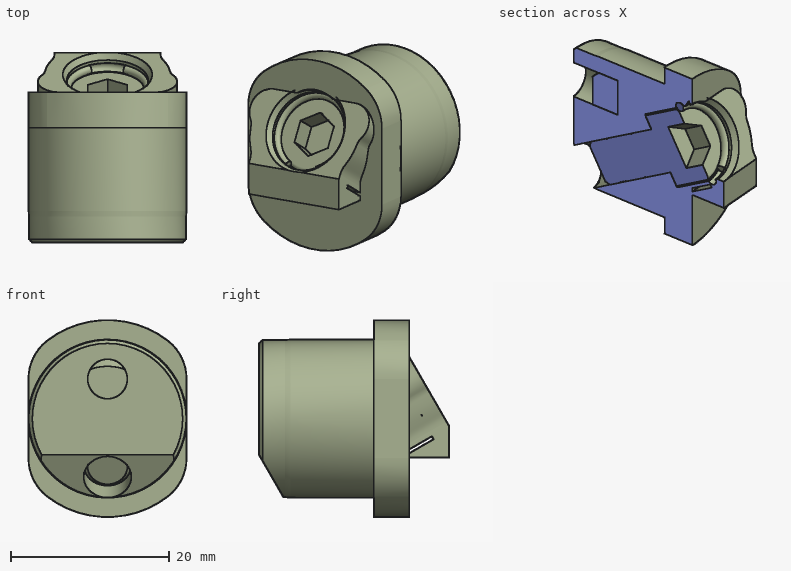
import cadquery as cq
import math

TOTAL_LENGTH = 24.0

BARREL_RADIUS = 10.0
BARREL_LENGTH = 14.5
NOSE_RADIUS = 9.94
NOSE_LENGTH = 3.3
NOSE_BLEND_END = 4.0
NOSE_CHAMFER = 0.45

FLANGE_THICKNESS = 4.5
FLANGE_RADIUS = 12.45
FLANGE_HALF_WIDTH = BARREL_RADIUS
FLANGE_CORNER_RADIUS = 6.15
FLANGE_BACK = BARREL_LENGTH + FLANGE_THICKNESS

TILT = 30.0
AXIS_CROSSING = 14.4
NOSE_CUT_TOP = -4.57

BOSS_FACE = 7.86
BOSS_RADIUS = 7.95
BOSS_BASE_HALF_WIDTH = 6.72
BOSS_BASE_FILLET = 2.8
BOSS_BOTTOM = -4.93
EAR_RADIUS = 2.7
EAR_OFFSET = 6.1
EAR_HEIGHT = 1.7
EAR_FILLET = 2.0

SLOT_DISTANCE = 5.87
SLOT_WIDTH = 0.4
SLOT_END = 5.3

SCREW_RADIUS = 3.0
SCREW_CHAMFER = 0.5
SCREW_RECESS = 2.5
HEAD_RADIUS = 5.0
HEAD_HEIGHT = 6.0
HEAD_TOP = 5.54
HEAD_FILLET = 0.5
SOCKET_ACROSS_FLATS = 5.0
SOCKET_DEPTH = 3.0

COUNTERBORE_RADIUS = 5.15
LEAD_IN_RADIUS = 5.65
LEAD_IN_DEPTH = 0.83

WIRE_RADIUS = 0.6
RING_RADIUS = COUNTERBORE_RADIUS
RING_POSITION = 5.96
RING_GAP = 52.0

PLUG_RADIUS = 2.5
PLUG_HEIGHT = 5.0
PLUG_RECESS = 3.0
PLUG_LENGTH = 4.0
PLUG_FACE_RADIUS = 6.6

SIN_TILT = math.sin(math.radians(TILT))
COS_TILT = math.cos(math.radians(TILT))
NOSE_FACE = -AXIS_CROSSING * COS_TILT + NOSE_CUT_TOP * SIN_TILT
SCREW_TIP = NOSE_FACE + SCREW_RECESS
HEAD_SEAT = HEAD_TOP - HEAD_HEIGHT
SCREW_DIRECTION = cq.Vector(0, COS_TILT, SIN_TILT)
AXIS_START = cq.selectors.DirectionMinMaxSelector(SCREW_DIRECTION, False)
AXIS_END = cq.selectors.DirectionMinMaxSelector(SCREW_DIRECTION, True)
CLEAR = 40.0


def tilted(position):
    """Workplane across the screw axis, at a distance along it from the axis crossing.

    Local y points up and to the front.
    """
    origin = (0, AXIS_CROSSING + position * COS_TILT, position * SIN_TILT)
    return cq.Workplane(cq.Plane(origin, xDir=(-1, 0, 0), normal=SCREW_DIRECTION))


def across(y):
    """Workplane across the housing axis at the given y, facing +Y."""
    return cq.Workplane(cq.Plane((0, y, 0), xDir=(-1, 0, 0), normal=(0, 1, 0)))


def make_barrel():
    profile = [
        (0, 0),
        (NOSE_RADIUS - NOSE_CHAMFER, 0),
        (NOSE_RADIUS, NOSE_CHAMFER),
        (NOSE_RADIUS, NOSE_LENGTH),
        (BARREL_RADIUS, NOSE_BLEND_END),
        (BARREL_RADIUS, BARREL_LENGTH),
        (0, BARREL_LENGTH),
    ]
    barrel = cq.Workplane("XY").polyline(profile).close().revolve(360, (0, 0, 0), (0, 1, 0))
    in_front_of_cut = tilted(NOSE_FACE).rect(CLEAR, CLEAR).extrude(-CLEAR)
    return barrel.cut(in_front_of_cut)


def make_flange():
    corner_x = FLANGE_HALF_WIDTH - FLANGE_CORNER_RADIUS
    corner_reach = FLANGE_RADIUS - FLANGE_CORNER_RADIUS
    corner_z = math.sqrt(corner_reach**2 - corner_x**2)
    join_x = corner_x * FLANGE_RADIUS / corner_reach
    join_z = corner_z * FLANGE_RADIUS / corner_reach
    middle_angle = math.atan2(corner_z, corner_x) / 2
    middle_x = corner_x + FLANGE_CORNER_RADIUS * math.cos(middle_angle)
    middle_z = corner_z + FLANGE_CORNER_RADIUS * math.sin(middle_angle)
    outline = (
        across(BARREL_LENGTH)
        .moveTo(FLANGE_HALF_WIDTH, -corner_z)
        .lineTo(FLANGE_HALF_WIDTH, corner_z)
        .threePointArc((middle_x, middle_z), (join_x, join_z))
        .threePointArc((0, FLANGE_RADIUS), (-join_x, join_z))
        .threePointArc((-middle_x, middle_z), (-FLANGE_HALF_WIDTH, corner_z))
        .lineTo(-FLANGE_HALF_WIDTH, -corner_z)
        .threePointArc((-middle_x, -middle_z), (-join_x, -join_z))
        .threePointArc((0, -FLANGE_RADIUS), (join_x, -join_z))
        .threePointArc((middle_x, -middle_z), (FLANGE_HALF_WIDTH, -corner_z))
        .close()
    )
    return outline.extrude(FLANGE_THICKNESS)


def toward(start, end, distance):
    """Point at a distance from start on the line to end."""
    share = distance / math.dist(start, end)
    return tuple(a + (b - a) * share for a, b in zip(start, end))


def arc_middle(centre, start, end):
    """Point halfway along the short arc from start to end."""
    chord_middle = ((start[0] + end[0]) / 2, (start[1] + end[1]) / 2)
    return toward(centre, chord_middle, math.dist(centre, start))


def ear_fillet_centre(ear):
    """Centre of the circle that touches the boss circle and the ear circle from outside, below."""
    boss_reach = BOSS_RADIUS + EAR_FILLET
    ear_reach = EAR_RADIUS + EAR_FILLET
    span = math.hypot(*ear)
    along = (boss_reach**2 - ear_reach**2 + span**2) / (2 * span)
    aside = math.sqrt(boss_reach**2 - along**2)
    return (
        (ear[0] * along + ear[1] * aside) / span,
        (ear[1] * along - ear[0] * aside) / span,
    )


def make_boss():
    axis = (0, 0)
    ear = (EAR_OFFSET, EAR_HEIGHT)
    ear_top = (EAR_OFFSET, EAR_HEIGHT + EAR_RADIUS)
    ear_side = (EAR_OFFSET + EAR_RADIUS, EAR_HEIGHT)
    ear_fillet = ear_fillet_centre(ear)
    ear_end = toward(ear, ear_fillet, EAR_RADIUS)
    round_start = toward(axis, ear_fillet, BOSS_RADIUS)

    base_fillet_x = BOSS_BASE_HALF_WIDTH + BOSS_BASE_FILLET
    base_fillet_drop = math.sqrt((BOSS_RADIUS + BOSS_BASE_FILLET) ** 2 - base_fillet_x**2)
    base_fillet = (base_fillet_x, -base_fillet_drop)
    round_end = toward(axis, base_fillet, BOSS_RADIUS)
    base_start = (BOSS_BASE_HALF_WIDTH, -base_fillet_drop)

    half = (
        tilted(BOSS_FACE)
        .moveTo(0, ear_top[1])
        .lineTo(*ear_top)
        .threePointArc(ear_side, ear_end)
        .threePointArc(arc_middle(ear_fillet, ear_end, round_start), round_start)
        .threePointArc(arc_middle(axis, round_start, round_end), round_end)
        .threePointArc(arc_middle(base_fillet, round_end, base_start), base_start)
        .lineTo(BOSS_BASE_HALF_WIDTH, -CLEAR)
        .lineTo(0, -CLEAR)
        .close()
        .extrude(-CLEAR)
    )
    boss = half.union(half.mirror("YZ"))
    room_length = TOTAL_LENGTH - FLANGE_BACK
    room = cq.Workplane("XY").box(CLEAR, room_length, CLEAR, centered=(True, False, False))
    return boss.intersect(room.translate((0, FLANGE_BACK, BOSS_BOTTOM)))


def make_slot():
    slot = tilted(SLOT_END).center(0, -SLOT_DISTANCE).rect(CLEAR, SLOT_WIDTH).extrude(-CLEAR)
    behind_flange = across(FLANGE_BACK).rect(CLEAR, CLEAR).extrude(CLEAR)
    return slot.intersect(behind_flange)


def make_ring(sweep_angle, start_angle):
    """Round wire bent around the screw axis; angles in degrees."""
    plane = tilted(RING_POSITION).plane
    wire = (
        cq.Workplane("XZ")
        .center(RING_RADIUS, 0)
        .circle(WIRE_RADIUS)
        .revolve(sweep_angle, (-RING_RADIUS, 0, 0), (-RING_RADIUS, 1, 0))
        .rotate((0, 0, 0), (0, 0, 1), start_angle)
    )
    return cq.Workplane(wire.val().moved(cq.Location(plane)))


def make_screw():
    """Socket head screw with its tip towards the inclined nose cut."""
    shank_length = HEAD_SEAT - SCREW_TIP
    shank = tilted(HEAD_SEAT).circle(SCREW_RADIUS).extrude(-shank_length)
    shank = shank.edges(AXIS_START).chamfer(SCREW_CHAMFER)
    head = tilted(HEAD_SEAT).circle(HEAD_RADIUS).extrude(HEAD_HEIGHT)
    head = head.edges(AXIS_END).fillet(HEAD_FILLET)
    socket_diameter = SOCKET_ACROSS_FLATS / math.cos(math.pi / 6)
    socket = tilted(HEAD_TOP).transformed(rotate=(0, 0, 90)).polygon(6, socket_diameter)
    return shank.union(head).cut(socket.extrude(-SOCKET_DEPTH))


def make_plug():
    """Plug whose flat end slopes away at 45 degrees beyond PLUG_FACE_RADIUS."""
    plug = across(PLUG_RECESS).center(0, PLUG_HEIGHT).circle(PLUG_RADIUS).extrude(PLUG_LENGTH)
    end = PLUG_RECESS + PLUG_LENGTH
    profile = [
        (0, PLUG_RECESS),
        (PLUG_FACE_RADIUS, PLUG_RECESS),
        (PLUG_FACE_RADIUS + PLUG_LENGTH, end),
        (0, end),
    ]
    cone = cq.Workplane("XY").polyline(profile).close().revolve(360, (0, 0, 0), (0, 1, 0))
    return plug.intersect(cone)


def make_housing():
    housing = make_barrel().union(make_flange()).union(make_boss())
    counterbore = tilted(HEAD_SEAT).circle(COUNTERBORE_RADIUS).extrude(CLEAR)
    lead_in = (
        tilted(BOSS_FACE)
        .circle(LEAD_IN_RADIUS)
        .workplane(offset=-LEAD_IN_DEPTH)
        .circle(COUNTERBORE_RADIUS)
        .loft(ruled=True)
    )
    screw_hole = tilted(NOSE_FACE).circle(SCREW_RADIUS).extrude(CLEAR)
    plug_hole = across(0).center(0, PLUG_HEIGHT).circle(PLUG_RADIUS).extrude(PLUG_RECESS + PLUG_LENGTH)
    return (
        housing.cut(counterbore)
        .cut(lead_in)
        .cut(screw_hole)
        .cut(make_ring(360, 0))
        .cut(plug_hole)
        .cut(make_slot())
    )


housing = make_housing()
screw = make_screw()
snap_ring = make_ring(360 - RING_GAP, -90 + RING_GAP / 2)
plug = make_plug()

result = cq.Compound.makeCompound([housing.val(), screw.val(), snap_ring.val(), plug.val()])